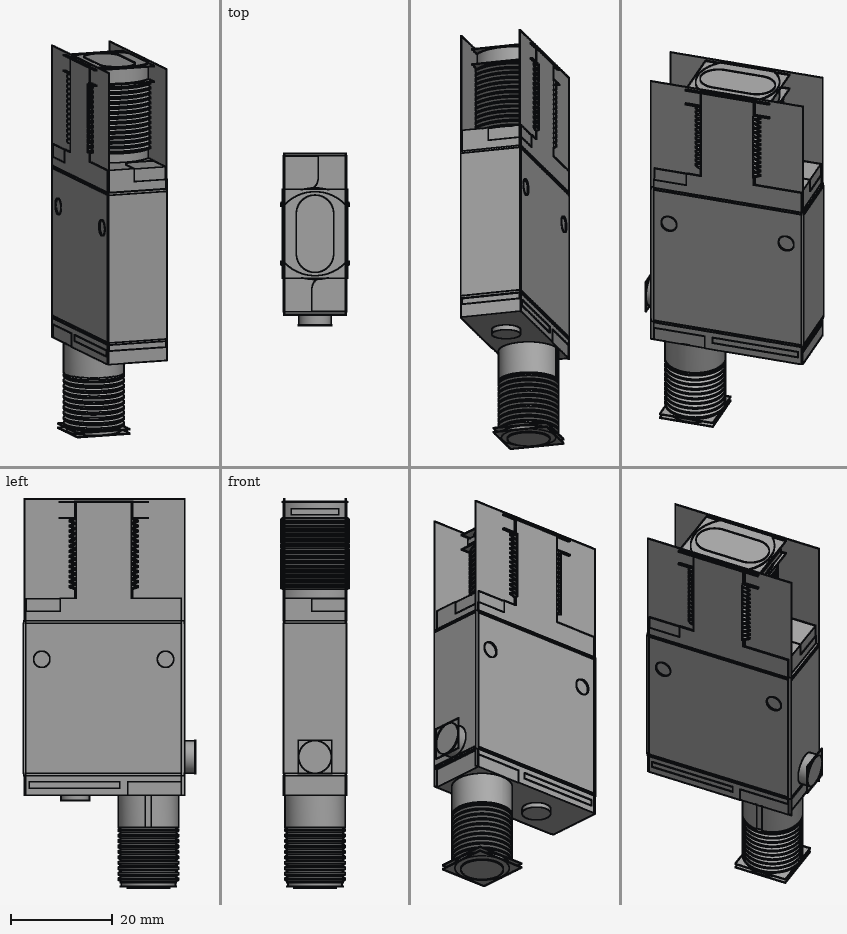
import cadquery as cq
import math

HOUSING_HALF_X = 6.3
HOUSING_HALF_Y = 15.3
HOUSING_BOTTOM = 18.2
HOUSING_TOP = 57.05

SLEEVE_HALF_X = 6.1
SLEEVE_FRONT = -16.0
SLEEVE_BACK = 15.85
SLEEVE_BOTTOM = 22.1
SLEEVE_TOP = 52.6
SEAM_HEIGHT = 0.45
SEAM_DEPTH = 0.115
SEAM_BOTTOMS = (SLEEVE_BOTTOM, SLEEVE_TOP - SEAM_HEIGHT)

PLATE_THICKNESS = 0.15
PLATE_BACK = 15.6
TOTAL_HEIGHT = 76.6

CREST_FRACTION = 0.3

HEAD_CORE_RADIUS = 8.3
HEAD_CREST_RADIUS = 9.0
HEAD_TOP = 76.1
HEAD_THREAD_BOTTOM = 58.8
HEAD_TEETH = 14
HEAD_PITCH = 1.0
CREST_HALF_X = 6.75
COLLAR_HALF_X = 6.4
COLLAR_HALF_Y = 8.7
SHEET_THICKNESS = 0.15
CAP_DROP = 0.1
PAD_WIDTH = 9.4
PAD_HEIGHT = 1.2
PAD_BOTTOM = 73.45
PAD_REACH = 8.35

LENS_LENGTH = 15.25
LENS_WIDTH = 7.35
LENS_DEPTH = 0.15

WINDOW_BOTTOM = 54.45
WINDOW_EDGE_X = -0.6
WINDOW_INNER_Y = -8.6
WINDOW_ARC_RADIUS = 2.3
WINDOW_INSET = 0.1

MOUNT_DIAMETER = 3.2
MOUNT_SPACING = 24.35
MOUNT_Z = 45.0
MOUNT_DEPTH = 0.4

BASE_TOP = 20.9
BASE_SPLIT_Y = -4.75
BASE_STEP = 0.115
BASE_SLOT_FRONT = -3.15
BASE_SLOT_BACK = 14.6
BASE_SLOT_BOTTOM = 19.7
BASE_SLOT_DEPTH = 0.3

BUTTON_DIAMETER = 6.4
BUTTON_PLATE_SIDE = 6.6
BUTTON_FACE_RISE = 0.1
BUTTON_Z = 25.8
BUTTON_TIP = -18.15
SCREW_DIAMETER = 5.7
SCREW_Y = 5.6
SCREW_HEIGHT = 1.0

CONNECTOR_Y = -8.8
CONNECTOR_RADIUS = 6.0
CONNECTOR_ROOT_RADIUS = 5.35
CONNECTOR_TEETH = 10
CONNECTOR_PITCH = 1.1
NOSE_HEIGHT = 1.2
TIP_RADIUS = 4.2
TIP_HEIGHT = 0.2
NOSE_SHEET_SIDE = 11.0
KEYWAY_WIDTH = 1.15
KEYWAY_DEPTH = 0.2

OVERLAP = 0.8


def box(x_range, y_range, z_range):
    (x0, x1), (y0, y1), (z0, z1) = x_range, y_range, z_range
    return cq.Workplane("XY").box(x1 - x0, y1 - y0, z1 - z0, centered=False).translate((x0, y0, z0))


def centred_box(half_x, y_range, z_range):
    return box((-half_x, half_x), y_range, z_range)


def cylinder(radius, z0, z1, y=0.0):
    return cq.Workplane("XY", origin=(0, y, z0)).circle(radius).extrude(z1 - z0)


def threaded_rod(core, crest, z0, z1, thread_start, pitch, teeth):
    """Rod along Z whose thread is a stack of flat-crested rings."""
    flank = pitch * (1 - CREST_FRACTION) / 2
    points = [(0, z0), (core, z0), (core, thread_start)]
    for tooth in range(teeth):
        root = thread_start + tooth * pitch
        points.append((crest, root + flank))
        points.append((crest, root + pitch - flank))
        points.append((core, root + pitch))
    points += [(core, z1), (0, z1)]
    return cq.Workplane("XZ").polyline(points).close().revolve(360, (0, 0, 0), (0, 1, 0))


def make_housing():
    block = centred_box(HOUSING_HALF_X, (-HOUSING_HALF_Y, HOUSING_HALF_Y), (HOUSING_BOTTOM, HOUSING_TOP))
    sleeve = centred_box(SLEEVE_HALF_X, (SLEEVE_FRONT, SLEEVE_BACK), (SLEEVE_BOTTOM, SLEEVE_TOP))
    cap = centred_box(SLEEVE_HALF_X, (BASE_SPLIT_Y, PLATE_BACK), (HOUSING_BOTTOM, BASE_TOP))
    body = block.union(sleeve).union(cap)
    for z in SEAM_BOTTOMS:
        z_range = (z, z + SEAM_HEIGHT)
        outside = centred_box(
            HOUSING_HALF_X + OVERLAP, (SLEEVE_FRONT - OVERLAP, SLEEVE_BACK + OVERLAP), z_range
        )
        inside = centred_box(
            HOUSING_HALF_X - SEAM_DEPTH, (SLEEVE_FRONT + SEAM_DEPTH, SLEEVE_BACK - SEAM_DEPTH), z_range
        )
        body = body.cut(outside.cut(inside))
    return body


def make_plates():
    x_range = (SLEEVE_HALF_X - PLATE_THICKNESS, SLEEVE_HALF_X)
    plate = box(x_range, (SLEEVE_FRONT, PLATE_BACK), (HOUSING_BOTTOM, TOTAL_HEIGHT))
    return plate.union(plate.mirror("YZ"))


def collar(bottom):
    """Thin rectangular sheet round the head, a little wider than its flats."""
    y_range = (-COLLAR_HALF_Y, COLLAR_HALF_Y)
    return centred_box(COLLAR_HALF_X, y_range, (bottom, bottom + SHEET_THICKNESS))


def make_head():
    root = HOUSING_TOP - OVERLAP
    y_range = (-2 * HEAD_CREST_RADIUS, 2 * HEAD_CREST_RADIUS)
    z_range = (root, HEAD_TOP)
    core = cylinder(HEAD_CORE_RADIUS, root, HEAD_TOP)
    thread = threaded_rod(
        HEAD_CORE_RADIUS, HEAD_CREST_RADIUS, root, HEAD_TOP, HEAD_THREAD_BOTTOM, HEAD_PITCH, HEAD_TEETH
    ).cut(core)
    thread = thread.intersect(centred_box(CREST_HALF_X, y_range, z_range))

    thread_top = HEAD_THREAD_BOTTOM + HEAD_TEETH * HEAD_PITCH
    thread = thread.union(collar(thread_top))

    flat_half_y = math.sqrt(HEAD_CORE_RADIUS**2 - HOUSING_HALF_X**2)
    core_slab = centred_box(HOUSING_HALF_X, y_range, z_range)
    over_flats = centred_box(CREST_HALF_X, (-flat_half_y, flat_half_y), z_range).cut(core_slab)
    head = core.intersect(core_slab).union(thread.cut(over_flats))

    cap = collar(HEAD_TOP - CAP_DROP - SHEET_THICKNESS)
    pad = centred_box(PAD_WIDTH / 2, (-PAD_REACH, 0), (PAD_BOTTOM, PAD_BOTTOM + PAD_HEIGHT))
    lens = (
        cq.Workplane("XY", origin=(0, 0, HEAD_TOP))
        .slot2D(LENS_LENGTH, LENS_WIDTH, 90)
        .extrude(-LENS_DEPTH)
    )
    return head.union(cap).union(pad).cut(lens)


def inset_window(body, turn):
    """Sink one corner window slightly below the top, front and side faces."""
    arc_start_y = WINDOW_INNER_Y - WINDOW_ARC_RADIUS
    diagonal = WINDOW_ARC_RADIUS * (1 - math.sqrt(0.5))
    window = (
        cq.Workplane("XY", origin=(0, 0, WINDOW_BOTTOM))
        .moveTo(WINDOW_EDGE_X, -HOUSING_HALF_Y)
        .lineTo(WINDOW_EDGE_X, arc_start_y)
        .threePointArc(
            (WINDOW_EDGE_X + diagonal, WINDOW_INNER_Y - diagonal),
            (WINDOW_EDGE_X + WINDOW_ARC_RADIUS, WINDOW_INNER_Y),
        )
        .lineTo(HOUSING_HALF_X, WINDOW_INNER_Y)
        .lineTo(HOUSING_HALF_X, -HOUSING_HALF_Y)
        .close()
        .extrude(HOUSING_TOP - WINDOW_BOTTOM)
    )
    sunk = window.translate((-WINDOW_INSET, WINDOW_INSET, -WINDOW_INSET))
    corner = window.cut(sunk)
    return body.cut(corner.rotate((0, 0, 0), (0, 0, 1), turn))


def cut_mounts(body):
    """Blind round recesses, one pair in each side."""
    for side in (-1, 1):
        recess = (
            cq.Workplane("YZ", origin=(side * HOUSING_HALF_X, 0, MOUNT_Z))
            .pushPoints([(-MOUNT_SPACING / 2, 0), (MOUNT_SPACING / 2, 0)])
            .circle(MOUNT_DIAMETER / 2)
            .extrude(-side * MOUNT_DEPTH)
        )
        body = body.cut(recess)
    return body


def cut_base(body):
    """Side slots of the base cap and the shallow step beside it."""
    outer = HOUSING_HALF_X + OVERLAP
    step_y = (-HOUSING_HALF_Y, BASE_SPLIT_Y)
    step = box((HOUSING_HALF_X - BASE_STEP, outer), step_y, (HOUSING_BOTTOM, BASE_TOP))
    slot_y = (BASE_SLOT_FRONT, BASE_SLOT_BACK)
    slot = box((HOUSING_HALF_X - BASE_SLOT_DEPTH, outer), slot_y, (BASE_SLOT_BOTTOM, BASE_TOP))
    cuts = step.union(slot)
    return body.cut(cuts).cut(cuts.mirror("YZ"))


def make_button():
    length = -HOUSING_HALF_Y - BUTTON_TIP
    barrel = (
        cq.Workplane("XZ", origin=(0, -HOUSING_HALF_Y + OVERLAP, BUTTON_Z))
        .circle(BUTTON_DIAMETER / 2)
        .extrude(length + OVERLAP)
    )
    half = BUTTON_PLATE_SIDE / 2
    plate_front = BUTTON_TIP + BUTTON_FACE_RISE
    tip_y = (plate_front, plate_front + SHEET_THICKNESS)
    return barrel.union(centred_box(half, tip_y, (BUTTON_Z - half, BUTTON_Z + half)))


def make_screw():
    return cylinder(SCREW_DIAMETER / 2, HOUSING_BOTTOM - SCREW_HEIGHT, HOUSING_BOTTOM + OVERLAP, SCREW_Y)


def make_connector():
    top = HOUSING_BOTTOM + OVERLAP
    thread_top = NOSE_HEIGHT + CONNECTOR_TEETH * CONNECTOR_PITCH
    rod = threaded_rod(
        CONNECTOR_ROOT_RADIUS, CONNECTOR_RADIUS, TIP_HEIGHT, top,
        NOSE_HEIGHT, CONNECTOR_PITCH, CONNECTOR_TEETH,
    )
    neck = cylinder(CONNECTOR_RADIUS, thread_top, top)
    tip = cylinder(TIP_RADIUS, 0, TIP_HEIGHT)
    connector = rod.union(neck).union(tip)

    half = NOSE_SHEET_SIDE / 2
    for bottom in (TIP_HEIGHT, NOSE_HEIGHT - SHEET_THICKNESS):
        sheet_z = (bottom, bottom + SHEET_THICKNESS)
        connector = connector.union(centred_box(half, (-half, half), sheet_z))

    keyway = box(
        (-CONNECTOR_RADIUS - OVERLAP, -CONNECTOR_RADIUS + KEYWAY_DEPTH),
        (-KEYWAY_WIDTH / 2, KEYWAY_WIDTH / 2),
        (thread_top, HOUSING_BOTTOM),
    )
    return connector.cut(keyway).translate((0, CONNECTOR_Y, 0))


body = cut_base(cut_mounts(make_housing()))
for turn in (0, 180):
    body = inset_window(body, turn)
for piece in (make_plates(), make_head(), make_button(), make_screw(), make_connector()):
    body = body.union(piece)

result = body